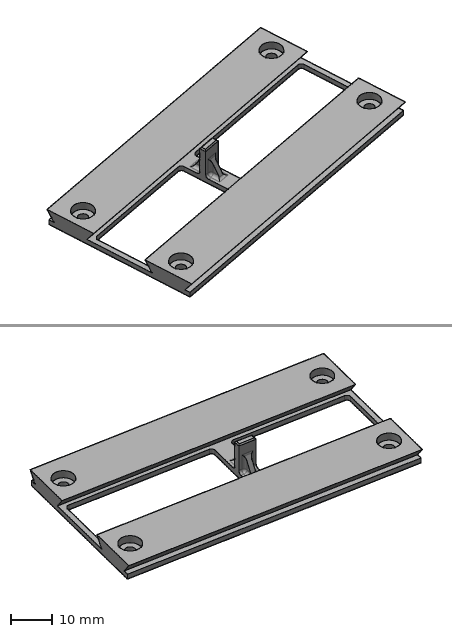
import cadquery as cq
import math

length = 84.0
base_width = 43.1
base_thickness = 1.5
window_width = 17.5
window_corner_radius = 1.0
end_bar = 1.5

overall_width = 44.3
rail_gap = 15.6
rail_top = 4.5
dovetail_inset = 2.1
rail_width = (overall_width - rail_gap) / 2
rail_center = (overall_width + rail_gap) / 4

hole_diameter = 2.8
counterbore_diameter = 6.0
counterbore_depth = 2.2
hole_spacing_y = 74.1

crossbar_width = 4.95
crossbar_y = -4.2
post_x = -2.0
post_thickness = 1.85
post_top = 10.25
post_chamfer = 0.3
gusset_thickness = 1.4
gusset_run = 3.1
gusset_rise = 5.0
root_radius = 0.9


def make_base():
    base = cq.Workplane("XY").box(base_width, length, base_thickness, centered=(True, True, False))
    frame_end = length / 2 - end_bar
    bar_front = crossbar_y - crossbar_width / 2
    bar_back = crossbar_y + crossbar_width / 2
    for start, end in ((-frame_end, bar_front), (bar_back, frame_end)):
        window = (
            cq.Workplane("XY")
            .center(0, (start + end) / 2)
            .rect(window_width, end - start)
            .extrude(base_thickness)
            .edges("|Z")
            .fillet(window_corner_radius)
        )
        base = base.cut(window)
    return base


def make_rail(center_x):
    half_top = rail_width / 2
    half_foot = half_top - dovetail_inset
    return (
        cq.Workplane("XZ")
        .polyline([
            (center_x - half_foot, base_thickness),
            (center_x + half_foot, base_thickness),
            (center_x + half_top, rail_top),
            (center_x - half_top, rail_top),
        ])
        .close()
        .extrude(length / 2, both=True)
    )


def at_post_root():
    """Work origin: center of the post, level with the top of the crossbar."""
    return (post_x, crossbar_y, base_thickness)


def make_post():
    post = (
        cq.Workplane("XY", origin=at_post_root())
        .rect(post_thickness, crossbar_width)
        .extrude(post_top - base_thickness)
        .faces(">Z")
        .chamfer(post_chamfer)
    )
    foot = flared_wall("XZ", post_thickness, root_radius, crossbar_width)
    return post.union(foot)


def flared_wall(plane, thickness, height, depth):
    """Wall whose foot flares out on both sides through concave quarter circles."""
    half = thickness / 2
    mid = root_radius * (1 - math.sqrt(0.5))
    wall = cq.Workplane(plane, origin=at_post_root()).moveTo(-half - root_radius, 0)
    wall = wall.lineTo(half + root_radius, 0)
    wall = wall.threePointArc((half + mid, mid), (half, root_radius))
    if height > root_radius:
        wall = wall.lineTo(half, height).lineTo(-half, height)
    wall = wall.lineTo(-half, root_radius)
    wall = wall.threePointArc((-half - mid, mid), (-half - root_radius, 0))
    return wall.close().extrude(depth / 2, both=True)


def make_gusset_envelope():
    """Both gussets seen along Y: sloped sides, rounded into the crossbar and the post."""
    half_post = post_thickness / 2
    half_foot = half_post + gusset_run
    half_ground = half_foot + root_radius
    profile = (
        cq.Workplane("XZ", origin=at_post_root())
        .polyline([
            (-half_ground, -base_thickness / 2),
            (half_ground, -base_thickness / 2),
            (half_ground, 0),
            (half_foot, 0),
            (half_post, gusset_rise),
            (half_post, gusset_rise + root_radius),
            (-half_post, gusset_rise + root_radius),
            (-half_post, gusset_rise),
            (-half_foot, 0),
            (-half_ground, 0),
        ])
        .close()
        .extrude(crossbar_width / 2, both=True)
    )
    margin = 0.1
    roots = cq.selectors.BoxSelector(
        (post_x - half_foot - margin, crossbar_y - margin, base_thickness - margin),
        (post_x + half_foot + margin, crossbar_y + margin, base_thickness + gusset_rise + margin),
    )
    return profile.edges("|Y").edges(roots).fillet(root_radius)


def make_gussets():
    """Gusset walls flared into the crossbar and the post, trimmed to their slope."""
    span = post_thickness + 2 * (gusset_run + root_radius)
    height = gusset_rise + root_radius
    walls = flared_wall("YZ", gusset_thickness, height, span)
    for side in (-1, 1):
        walls = walls.union(make_post_flare(side, height))
        for across in (-1, 1):
            walls = walls.union(make_corner(side, across))
    return walls.intersect(make_gusset_envelope())


def make_post_flare(side, height):
    """Upright concave roundings between the post and the gusset on one side of it."""
    half_post = post_thickness / 2
    half_gusset = gusset_thickness / 2
    flare = (
        cq.Workplane("XY", origin=at_post_root())
        .center(side * (half_post + root_radius / 2), 0)
        .rect(root_radius, gusset_thickness + 2 * root_radius)
        .extrude(height)
    )
    rounding = (
        cq.Workplane("XY", origin=at_post_root())
        .pushPoints([
            (side * (half_post + root_radius), across * (half_gusset + root_radius)) for across in (-1, 1)
        ])
        .circle(root_radius)
        .extrude(height)
    )
    return flare.cut(rounding)


def make_corner(side, across):
    """Spherical blend where post, gusset and crossbar meet."""
    x = side * post_thickness / 2
    y = across * gusset_thickness / 2
    block = (
        cq.Workplane("XY", origin=at_post_root())
        .center(x + side * root_radius / 2, y + across * root_radius / 2)
        .rect(root_radius, root_radius)
        .extrude(root_radius)
    )
    ball = (
        cq.Workplane("XY", origin=at_post_root())
        .center(x + side * root_radius, y + across * root_radius)
        .workplane(offset=root_radius)
        .sphere(root_radius)
    )
    return block.cut(ball)


def cut_screw_holes(body):
    return (
        body.copyWorkplane(cq.Workplane("XY", origin=(0, 0, rail_top)))
        .rarray(2 * rail_center, hole_spacing_y, 2, 2)
        .cboreHole(hole_diameter, counterbore_diameter, counterbore_depth)
    )


result = make_base()
for side in (-1, 1):
    result = result.union(make_rail(side * rail_center))
result = result.union(make_post()).union(make_gussets())
result = cut_screw_holes(result)